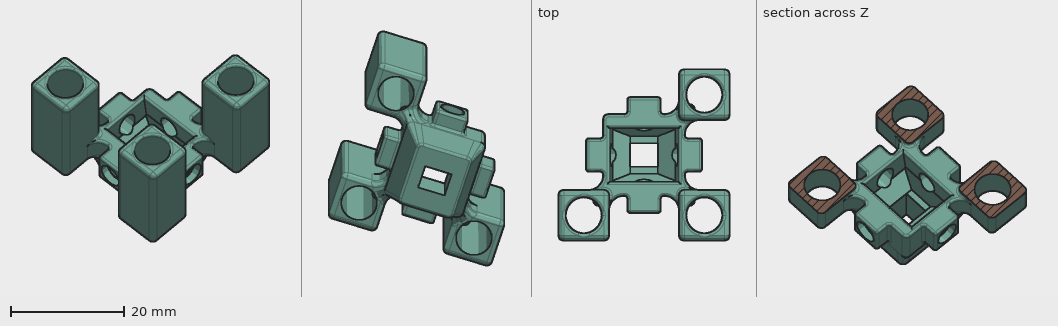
import cadquery as cq
body_width = 14.5
body_top = 13.7
foot_height = 6.7
foot_bottom_x = 10.0
foot_bottom_y = 11.8
body_corner_radius = 1.0
edge_radius = 0.5

tower_width = 9.0
tower_height = 20.0
tower_offset = 10.65
tower_bottom = body_top - 5.0
tower_edge_radius = 1.0
tower_bore = 6.3
tower_bore_lip = 0.5
tower_centers = [(-tower_offset, -tower_offset), (tower_offset, -tower_offset), (tower_offset, tower_offset)]
tower_inner_side = tower_offset - tower_width / 2
web_radius = 2.5

boss_width = 5.9
boss_span = 20.5
boss_axis_z = body_top - boss_width / 2
boss_bore = 3.9
boss_counterbore = 4.3
boss_counterbore_depth = 1.5

mouth_x = 12.25
mouth_y = 9.4
funnel_top_x = 11.0
funnel_top_y = mouth_y
funnel_end_walls_z = 9.2
funnel_side_walls_z = 9.5
funnel_bottom_x = 4.9
funnel_bottom_y = 6.6
funnel_bottom_z = 7.0
outlet_y = 4.1

tolerance = 0.01


class EdgesWhere(cq.Selector):
    """Selects the edges whose bounding box passes a test."""

    def __init__(self, test):
        self.test = test

    def filter(self, edges):
        return [edge for edge in edges if self.test(edge.BoundingBox())]


def side_distances(box):
    """Distances of a bounding box's four sides from the Z axis."""
    return [abs(side) for side in (box.xmin, box.xmax, box.ymin, box.ymax)]


def is_web_edge(box):
    """Joint between a tower and the flanks of the body, inside a corner of the body."""
    near = tower_inner_side - tolerance
    far = body_width / 2 + tolerance
    in_corner = all(near < distance < far for distance in side_distances(box))
    above_bottom = box.zmin > tower_bottom - tolerance
    below_top = box.zmin < body_top - tolerance and box.zmax < body_top + tolerance
    return in_corner and above_bottom and below_top


def is_boss_edge(box):
    """Edge of a boss, or its joint with the body, below the top face."""
    x_reach = max(abs(box.xmin), abs(box.xmax))
    y_reach = max(abs(box.ymin), abs(box.ymax))
    beside_axis = min(x_reach, y_reach) < boss_width / 2 + tolerance
    outside_body = max(x_reach, y_reach) > body_width / 2 - tolerance
    return beside_axis and outside_body and box.zmin < body_top - tolerance


def is_tower_foot_edge(box):
    """Quarter circle where a tower's rounded corner stands on the body's top face."""
    near = tower_inner_side - tolerance
    far = tower_inner_side + tower_edge_radius + tolerance
    at_top = abs(box.zmin - body_top) < tolerance and abs(box.zmax - body_top) < tolerance
    return at_top and all(near < distance < far for distance in side_distances(box))


def is_mouth_edge(box):
    """One of the four edges around the cavity's opening in the top face."""
    at_top = abs(box.zmin - body_top) < tolerance and abs(box.zmax - body_top) < tolerance
    near_cavity = max(side_distances(box)) < mouth_x / 2 + tolerance
    centred = min(abs(box.center.x), abs(box.center.y)) < tolerance
    return at_top and near_cavity and centred


def make_tower(center):
    tower = cq.Workplane("XY").box(tower_width, tower_width, tower_height, centered=(True, True, False))
    return tower.edges().fillet(tower_edge_radius).translate((*center, tower_bottom))


def add_towers(part):
    for center in tower_centers:
        part = part.union(make_tower(center))
    return part


def make_upper_body():
    """Block with webs and bosses, cut level with the body's top, all edges rounded."""
    block_height = body_top - foot_height
    block = cq.Workplane("XY", origin=(0, 0, foot_height)).rect(body_width, body_width).extrude(block_height)
    part = add_towers(block.edges("|Z").fillet(body_corner_radius))
    part = part.edges(EdgesWhere(is_web_edge)).fillet(web_radius)
    for size in [(boss_span, boss_width), (boss_width, boss_span)]:
        part = part.union(cq.Workplane("XY").box(*size, boss_width).translate((0, 0, boss_axis_z)))
    part = part.edges(EdgesWhere(is_boss_edge)).fillet(edge_radius)
    part_width = 2 * tower_offset + tower_width
    below_top = cq.Workplane("XY").box(part_width, part_width, body_top, centered=(True, True, False))
    return part.intersect(below_top).faces(">Z").edges().fillet(edge_radius)


def make_foot():
    bottom = cq.Sketch().rect(foot_bottom_x, foot_bottom_y).vertices().fillet(body_corner_radius)
    top = cq.Sketch().rect(body_width, body_width).vertices().fillet(body_corner_radius)
    top = top.moved(cq.Location(cq.Vector(0, 0, foot_height)))
    foot = cq.Workplane("XY").placeSketch(bottom, top).loft(ruled=True)
    return foot.faces("<Z").edges().fillet(edge_radius)


def make_funnel_prism(plane, bottom_width, waist_width, waist_z, mouth_width):
    """Long prism whose profile narrows from the mouth over the waist to the bottom."""
    profile = (
        cq.Workplane(plane)
        .moveTo(-bottom_width / 2, funnel_bottom_z)
        .lineTo(-waist_width / 2, waist_z)
        .lineTo(-mouth_width / 2, body_top)
        .lineTo(mouth_width / 2, body_top)
        .lineTo(waist_width / 2, waist_z)
        .lineTo(bottom_width / 2, funnel_bottom_z)
        .close()
    )
    return profile.extrude(body_width, both=True)


def cut_cavity(part):
    x_prism = make_funnel_prism("XZ", funnel_bottom_x, funnel_top_x, funnel_end_walls_z, mouth_x)
    y_prism = make_funnel_prism("YZ", funnel_bottom_y, funnel_top_y, funnel_side_walls_z, mouth_y)
    outlet = cq.Workplane("XY").rect(funnel_bottom_x, outlet_y).extrude(body_top)
    return part.cut(x_prism.intersect(y_prism)).cut(outlet)


def cut_tower_bores(part):
    bore = cq.Workplane("XY", origin=(0, 0, tower_bottom)).pushPoints(tower_centers)
    part = part.cut(bore.circle(tower_bore / 2).extrude(tower_height))
    return part.faces(">Z").edges("%CIRCLE").fillet(tower_bore_lip)


def cut_boss_bores(part):
    for plane in ("XZ", "YZ"):
        axis = cq.Workplane(plane, origin=(0, 0, boss_axis_z))
        part = part.cut(axis.circle(boss_bore / 2).extrude(boss_span / 2, both=True))
        for side in (-1, 1):
            end = axis.workplane(offset=side * boss_span / 2)
            part = part.cut(end.circle(boss_counterbore / 2).extrude(-side * boss_counterbore_depth))
    return part


result = add_towers(make_upper_body())
result = result.edges(EdgesWhere(is_tower_foot_edge)).fillet(edge_radius)
result = result.union(make_foot())
result = cut_cavity(result)
result = result.edges(EdgesWhere(is_mouth_edge)).fillet(edge_radius)
result = cut_tower_bores(result)
result = cut_boss_bores(result)